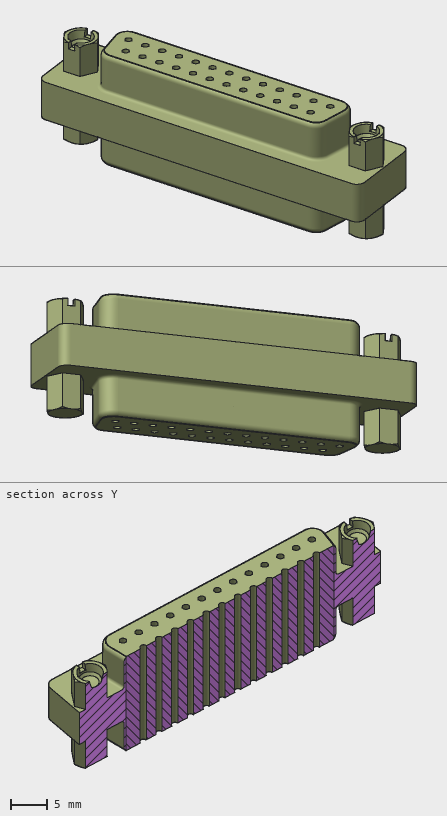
import math

import cadquery as cq

flange_length = 53.05
flange_width = 12.55
flange_thickness = 6.0
flange_corner_radius = 1.3

total_height = 17.6
shell_length = 37.8
shell_width = 7.9
shell_side_angle = 10.0
shell_corner_radius = 2.0
shell_wall = 0.4
shell_rim_fillet = 0.8
shell_root_fillet = 0.5

insert_corner_radius = 1.75
contact_diameter = 1.0
contact_row_spacing = 2.8
long_row_count = 13
short_row_count = long_row_count - 1
long_row_length = 33.25
contact_pitch = long_row_length / (long_row_count - 1)

screw_sides = 6
screw_spacing = 47.05
screw_across_flats = 4.7
screw_top = 7.8
screw_bottom = -8.0
screw_end_diameter = 4.8
screw_chamfer_angle = 30.0
slot_width = 1.0
slot_depth = 1.0

socket_rim_diameter = 3.65
socket_wall_diameter = 3.2
socket_wall_depth = 1.3
socket_floor_diameter = 2.5
socket_seat_depth = 0.4
socket_floor_angle = 155.0


def d_prism(inset, corner_radius):
    """Full-height D-shaped prism whose sides lie inside the shell's outer faces by inset."""
    angle = math.radians(shell_side_angle)
    half_width = shell_width / 2 - inset
    half_length = shell_length / 2 - inset / math.cos(angle)
    lean = half_width * math.tan(angle)
    outline = [
        (-half_length - lean, half_width),
        (half_length + lean, half_width),
        (half_length - lean, -half_width),
        (-half_length + lean, -half_width),
    ]
    return (
        cq.Workplane("XY")
        .polyline(outline)
        .close()
        .extrude(total_height / 2, both=True)
        .edges("|Z")
        .fillet(corner_radius)
    )


def make_flange():
    return (
        cq.Workplane("XY")
        .box(flange_length, flange_width, flange_thickness)
        .edges("|Z")
        .fillet(flange_corner_radius)
    )


def fillet_shell_roots(body):
    """Round the edges where the shells meet the two faces of the flange."""
    margin = 0.05
    half_x = shell_length / 2 + shell_corner_radius
    half_y = shell_width / 2 + margin
    half_z = flange_thickness / 2 + margin
    root_zone = cq.selectors.BoxSelector(
        (-half_x, -half_y, -half_z), (half_x, half_y, half_z), boundingbox=True
    )
    return body.edges(root_zone).fillet(shell_root_fillet)


def screw_blank():
    """Hexagonal bar with both ends chamfered by a cone."""
    across_corners = screw_across_flats / math.cos(math.pi / screw_sides)
    hexagon = (
        cq.Workplane("XY", origin=(0, 0, screw_bottom))
        .polygon(screw_sides, across_corners)
        .extrude(screw_top - screw_bottom)
    )
    end_radius = screw_end_diameter / 2
    outer_radius = across_corners
    drop = (outer_radius - end_radius) * math.tan(math.radians(screw_chamfer_angle))
    envelope = (
        cq.Workplane("XZ")
        .moveTo(0, screw_bottom)
        .lineTo(end_radius, screw_bottom)
        .lineTo(outer_radius, screw_bottom + drop)
        .lineTo(outer_radius, screw_top - drop)
        .lineTo(end_radius, screw_top)
        .lineTo(0, screw_top)
        .close()
        .revolve()
    )
    return hexagon.intersect(envelope)


def screw_slot():
    """Screwdriver slot across the upper end, along Y."""
    slot_length = 2 * screw_across_flats
    return cq.Workplane("XY", origin=(0, 0, screw_top - slot_depth / 2)).box(
        slot_width, slot_length, slot_depth
    )


def screw_socket():
    wall_end = screw_top - socket_wall_depth
    seat_end = wall_end - socket_seat_depth
    floor_radius = socket_floor_diameter / 2
    tip_depth = floor_radius / math.tan(math.radians(socket_floor_angle / 2))
    return (
        cq.Workplane("XZ")
        .moveTo(0, screw_top)
        .lineTo(socket_rim_diameter / 2, screw_top)
        .lineTo(socket_wall_diameter / 2, wall_end)
        .lineTo(floor_radius, seat_end)
        .lineTo(0, seat_end - tip_depth)
        .close()
        .revolve()
    )


def make_housing():
    """Flange, the shells around the insert and the jack screws, as one solid."""
    shell = d_prism(0, shell_corner_radius).faces("|Z").edges().fillet(shell_rim_fillet)
    body = fillet_shell_roots(make_flange().union(shell))
    body = body.cut(d_prism(shell_wall, shell_corner_radius - shell_wall))
    screw = screw_blank().cut(screw_slot()).cut(screw_socket())
    for side in (-1, 1):
        body = body.union(screw.translate((side * screw_spacing / 2, 0, 0)))
    return body


def row_points(count, y):
    """Centres of one row of contact holes, centred on X = 0."""
    return [((i - (count - 1) / 2) * contact_pitch, y) for i in range(count)]


def make_insert():
    """Contact carrier that fills the shells, with contact holes right through it."""
    points = row_points(long_row_count, contact_row_spacing / 2)
    points += row_points(short_row_count, -contact_row_spacing / 2)
    holes = (
        cq.Workplane("XY")
        .pushPoints(points)
        .circle(contact_diameter / 2)
        .extrude(total_height / 2, both=True)
    )
    return d_prism(shell_wall, insert_corner_radius).cut(holes)


housing = make_housing().solids()
insert = make_insert().solids()
result = cq.Compound.makeCompound([housing.val(), insert.val()])